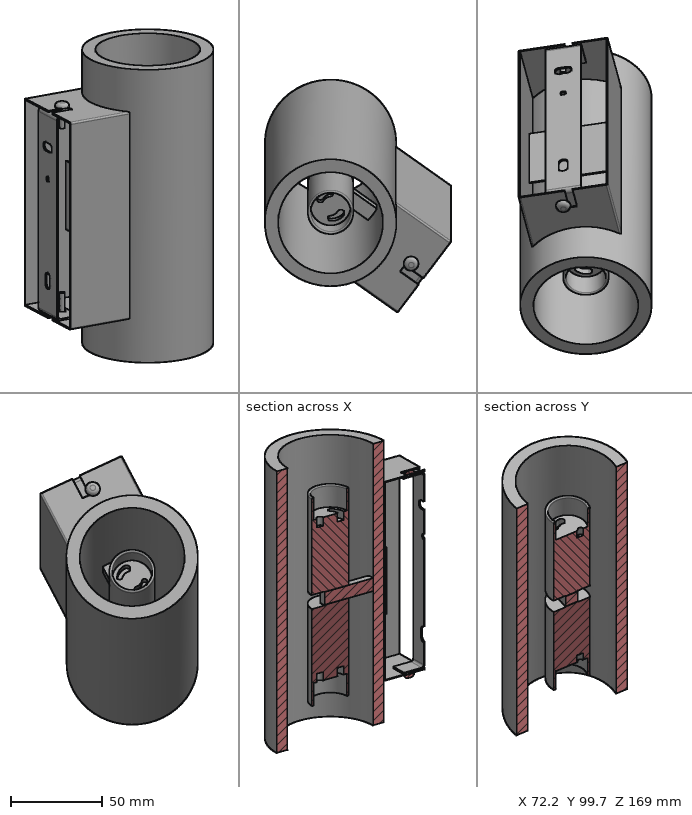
import cadquery as cq
import math

tube_length = 169.0
tube_diameter = 72.2
tube_bore = 57.5
tube_radius = tube_diameter / 2

total_depth = 99.7
box_width = 50.0
box_height = 119.7
side_wall = 1.0
end_wall = 0.8
back_wall = 1.0
bend_radius = 1.0
box_front = tube_radius - total_depth
inner_width = box_width - 2 * side_wall
inner_height = box_height - 2 * end_wall
back_radius = tube_radius + back_wall

screw_x = -2.0
screw_y = -53.2
head_diameter = 8.1
head_height = 2.5
shank_diameter = 3.0
shank_length = 12.3
screw_hole_diameter = 4.0

slot_width = 4.4
slot_offset = 3.0

bracket_width = 20.0
bracket_thickness = 1.0
bracket_bend = 2.4
flange_depth = 14.4
bracket_front = box_front
keyhole_length = 9.5
keyhole_width = 5.0
keyhole_z = 38.5
pilot_diameter = 3.0
pilot_z = 20.1

plate_height = 39.5
plate_thickness = 0.8

arm_width = 8.1
holder_diameter = 25.0
holder_bore = 22.0
holder_top = 62.5
holder_depth = 13.5
pin_circle_radius = 7.0
pin_hole_diameter = 4.0
pin_slot_width = 3.0
pin_slot_angle = 53.0
pin_slot_depth = 5.0


def z_cylinder(radius, height, x=0, y=0):
    """Cylinder along Z, centred on the XY plane."""
    return cq.Workplane("XY", origin=(x, y, -height / 2)).circle(radius).extrude(height)


def make_tube():
    return (
        cq.Workplane("XY")
        .circle(tube_radius)
        .circle(tube_bore / 2)
        .extrude(tube_length)
        .translate((0, 0, -tube_length / 2))
    )


def entry_slot():
    """L-shaped cutter: in from the open edge at slot_offset, then across to the screw."""
    run_length = screw_y - box_front + slot_width / 2
    run = cq.Workplane("XY").box(slot_width, run_length, box_height, centered=(True, False, True))
    run = run.translate((slot_offset, box_front, 0))
    cross_length = slot_offset - screw_x + slot_width / 2
    cross = cq.Workplane("XY").box(cross_length, slot_width, box_height, centered=(False, True, True))
    cross = cross.translate((screw_x, screw_y, 0))
    seat = z_cylinder(slot_width / 2, box_height, screw_x, screw_y)
    return run.union(cross).union(seat)


def make_wall_box():
    depth = -box_front
    outer = (
        cq.Workplane("XY")
        .box(box_width, depth, box_height, centered=(True, False, True))
        .edges("|Y")
        .fillet(bend_radius)
    )
    inner = cq.Workplane("XY").box(inner_width, depth, inner_height, centered=(True, False, True))
    back = z_cylinder(back_radius, box_height)
    cavity = inner.translate((0, box_front, 0)).cut(back)
    shell = outer.translate((0, box_front, 0)).cut(cavity)
    return shell.cut(z_cylinder(tube_radius, box_height)).cut(entry_slot())


def make_bracket():
    strip = (
        cq.Workplane("XY")
        .box(bracket_width, flange_depth, inner_height, centered=(True, False, True))
        .edges("|X and <Y")
        .fillet(bracket_bend)
    )
    inside = (
        cq.Workplane("XY")
        .box(bracket_width, flange_depth, inner_height - 2 * bracket_thickness, centered=(True, False, True))
        .edges("|X and <Y")
        .fillet(bracket_bend - bracket_thickness)
        .translate((0, bracket_thickness, 0))
    )
    bracket = strip.cut(inside).translate((0, bracket_front, 0))
    face = cq.Workplane("XZ", origin=(0, bracket_front, 0))
    flat_slot = face.center(0, keyhole_z).slot2D(keyhole_length, keyhole_width).extrude(-bracket_thickness)
    tall_slot = face.center(0, -keyhole_z).slot2D(keyhole_length, keyhole_width, 90).extrude(-bracket_thickness)
    pilot = face.center(0, pilot_z).circle(pilot_diameter / 2).extrude(-bracket_thickness)
    screw_holes = z_cylinder(screw_hole_diameter / 2, box_height, screw_x, screw_y)
    return bracket.cut(flat_slot).cut(tall_slot).cut(pilot).cut(screw_holes)


def make_screw(end):
    """Screw with a quarter-round head edge; end is 1 for the top of the box and -1 for the bottom."""
    head_radius = head_diameter / 2
    shank_radius = shank_diameter / 2
    flat_radius = head_radius - head_height
    bulge = head_height * math.sqrt(0.5)
    profile = (
        cq.Workplane("XZ")
        .moveTo(0, -shank_length)
        .lineTo(shank_radius, -shank_length)
        .lineTo(shank_radius, 0)
        .lineTo(head_radius, 0)
        .threePointArc((flat_radius + bulge, bulge), (flat_radius, head_height))
        .lineTo(0, head_height)
        .close()
    )
    screw = profile.revolve(360, (0, 0, 0), (0, 1, 0))
    if end < 0:
        screw = screw.mirror("XY")
    return screw.translate((screw_x, screw_y, end * box_height / 2))


def make_plate():
    return (
        cq.Workplane("XY")
        .box(inner_width, plate_thickness, plate_height)
        .translate((0, -back_radius - plate_thickness / 2, 0))
    )


def make_arm():
    """Square bar from the tube bore to just past the tube axis."""
    bar = cq.Workplane("XY").box(arm_width, tube_radius, arm_width, centered=(True, False, True))
    bar = bar.translate((0, arm_width / 2 - tube_radius, 0))
    return bar.intersect(z_cylinder(tube_bore / 2, arm_width))


def pin_slot(start_angle):
    """Curved lamp-pin slot about the holder axis, tapering from the entry hole at start_angle."""
    entry_radius = pin_hole_diameter / 2
    end_radius = pin_slot_width / 2
    middle_radius = (entry_radius + end_radius) / 2

    def at(offset, turn):
        angle = math.radians(start_angle + turn)
        radius = pin_circle_radius + offset
        return (radius * math.cos(angle), radius * math.sin(angle))

    half_turn = pin_slot_angle / 2
    track = (
        cq.Workplane("XY")
        .moveTo(*at(-entry_radius, 0))
        .threePointArc(at(-middle_radius, half_turn), at(-end_radius, pin_slot_angle))
        .lineTo(*at(end_radius, pin_slot_angle))
        .threePointArc(at(middle_radius, half_turn), at(entry_radius, 0))
        .close()
        .extrude(-pin_slot_depth)
    )
    entry = cq.Workplane("XY").center(*at(0, 0)).circle(entry_radius)
    rest = cq.Workplane("XY").center(*at(0, pin_slot_angle)).circle(end_radius)
    return track.union(entry.extrude(-pin_slot_depth)).union(rest.extrude(-pin_slot_depth))


def make_holder(end):
    """Lamp holder on the arm; end is 1 for the upper one and -1 for the lower one."""
    seat_z = arm_width / 2
    floor_z = holder_top - holder_depth
    outer_radius = holder_diameter / 2
    bore_radius = holder_bore / 2
    rim_radius = (outer_radius - bore_radius) / 2
    rim_z = holder_top - rim_radius
    profile = (
        cq.Workplane("XZ")
        .moveTo(0, seat_z)
        .lineTo(outer_radius, seat_z)
        .lineTo(outer_radius, rim_z)
        .threePointArc((bore_radius + rim_radius, holder_top), (bore_radius, rim_z))
        .lineTo(bore_radius, floor_z)
        .lineTo(0, floor_z)
        .close()
    )
    holder = profile.revolve(360, (0, 0, 0), (0, 1, 0))
    for start_angle in (90, 270):
        holder = holder.cut(pin_slot(start_angle).translate((0, 0, floor_z)))
    return holder if end > 0 else holder.mirror("XY")


ends = (1, -1)
tube = make_tube()
wall_box = make_wall_box()
bracket = make_bracket()
plate = make_plate()
arm = make_arm()
screws = [make_screw(end) for end in ends]
holders = [make_holder(end) for end in ends]

result = cq.Compound.makeCompound(
    [
        tube.val(),
        wall_box.val(),
        bracket.val(),
        plate.val(),
        arm.val(),
        *[screw.val() for screw in screws],
        *[holder.val() for holder in holders],
    ]
)